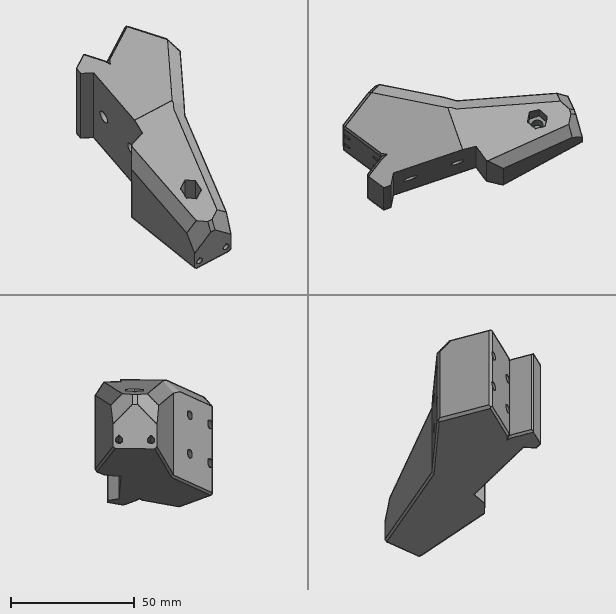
import cadquery as cq
import math

HEIGHT = 42.0
LENGTH_X = 80.8
LENGTH_Y = 75.9
BIG = 242.4

ARM_ANGLE = math.atan2(-2, 3)
ALONG = (math.cos(ARM_ANGLE), math.sin(ARM_ANGLE))
ACROSS = (-ALONG[1], ALONG[0])

PLATE_X = 9.85
LEDGE_Y = 55.6
LEDGE_CORNER = [(0, 54.95), (0.4, LEDGE_Y)]
RELIEF = [(9.45, LEDGE_Y), (10.3, 55.4), (PLATE_X, 56.25)]
PLATE_CORNER = (33.45, LENGTH_Y)
WAIST = (47.75, 46.15)

LEDGE_NOSE = [(2.6, 45.25), (0, 46.95)]
CLAMP_START = (7.3, 47.5)
CLAMP_LENGTH = 35.3
ARM_HEEL = (34.7, 21.2)
ARM_KNEE = (37.4, 14.6)
TIP_WIDTH = 17.8
TIP_LOW = (LENGTH_X - TIP_WIDTH * ACROSS[0], 0)
TIP_HIGH = (LENGTH_X, TIP_WIDTH * ACROSS[1])

RIDGE_ALONG = 9.3
ARM_SLOPE = 0.394
SLOPE_GRADIENT = (-ARM_SLOPE * ALONG[0], -ARM_SLOPE * ALONG[1])

SMALL_CHAMFER = 0.9
BACK_CHAMFER = 1.1
PLATE_TOP_CHAMFER = 5.0
ARM_TOP_CHAMFER = 4.5
ARM_TOP_CHAMFER_DROP = 4.85

TIP_SIDE_HEIGHT = 10.3
TIP_RIDGE_HEIGHT = 18.6
FACET_ALONG_SLOPE = 2.2
FACET_ACROSS_SLOPE = 1.06

MOUNT_HOLE_DIAMETER = 3.5
MOUNT_HOLE_YS = (58.2, 73.2)
MOUNT_HOLE_SPACING_Z = 16.2
CLAMP_HOLE_DIAMETER = 5.5
CLAMP_HOLE_DEPTH = 15.0
CLAMP_HOLE_OFFSETS = (7.4, 27.5)
TIP_HOLE_DIAMETER = 2.8
TIP_HOLE_HEIGHT = 3.6
TIP_HOLE_SPACING = 12.9
TIP_HOLE_DEPTH = 10.0
NUT_CENTER = (62.55, 16.5)
NUT_CORNER_DIAMETER = 8.4
NUT_FLOOR_Z = 16.2
NUT_HOLE_DIAMETER = 4.8
NUT_HOLE_DEPTH = 10.0


def midpoint(start, end):
    return ((start[0] + end[0]) / 2, (start[1] + end[1]) / 2)


def above_plane(point, gradient):
    """Solid filling the space above the plane through a point with the given rise along X and Y."""
    plane = cq.Plane(origin=point, normal=(-gradient[0], -gradient[1], 1))
    return cq.Workplane(plane).rect(BIG, BIG).extrude(BIG)


def slope_height(point):
    """Height of the sloped arm top, extended over any point in plan."""
    along = point[0] * ALONG[0] + point[1] * ALONG[1]
    return HEIGHT - ARM_SLOPE * (along - RIDGE_ALONG)


def wall_chamfer(start, end, top_height, top_gradient, inset, drop):
    """Space above the chamfer on the top of the wall from start to end, with the part on its right."""
    length = math.dist(start, end)
    inward = ((end[1] - start[1]) / length, (start[0] - end[0]) / length)
    gradient = [top + inner * drop / inset for top, inner in zip(top_gradient, inward)]
    return above_plane((*start, top_height - drop), gradient)


def arm_chamfer(start, end):
    """Space above the chamfer where a wall meets the sloped arm top."""
    top_height = slope_height(start)
    return wall_chamfer(start, end, top_height, SLOPE_GRADIENT, ARM_TOP_CHAMFER, ARM_TOP_CHAMFER_DROP)


def tip_facet(height, across_slope, corner):
    """Space above a facet that falls towards the tip, reaching the given height over the corner."""
    gradient = [-FACET_ALONG_SLOPE * a - across_slope * c for a, c in zip(ALONG, ACROSS)]
    return above_plane((*corner, height), gradient)


def chamfer_edges(solid, midpoints, size):
    """Chamfer the edges whose midpoints lie nearest to the given points."""
    edges = [solid.edges(cq.selectors.NearestToPointSelector(point)).val() for point in midpoints]
    return solid.newObject(edges).chamfer(size)


def teardrop_hole(plane, across):
    """Blind hole with a 45 degree pointed roof."""
    radius = TIP_HOLE_DIAMETER / 2
    tangent = radius * math.sqrt(0.5)
    profile = (
        cq.Workplane(plane)
        .center(across, TIP_HOLE_HEIGHT)
        .moveTo(-tangent, tangent)
        .threePointArc((0, -radius), (tangent, tangent))
        .lineTo(0, 2 * tangent)
        .close()
    )
    return profile.extrude(-TIP_HOLE_DEPTH)


clamp_end = (CLAMP_START[0] + CLAMP_LENGTH * ALONG[0], CLAMP_START[1] + CLAMP_LENGTH * ALONG[1])
outline = [
    *LEDGE_CORNER, *RELIEF, (PLATE_X, LENGTH_Y), PLATE_CORNER, WAIST, TIP_HIGH,
    TIP_LOW, ARM_KNEE, ARM_HEEL, clamp_end, CLAMP_START, *LEDGE_NOSE,
]
body = cq.Workplane("XY").polyline(outline).close().extrude(HEIGHT)

body = body.cut(above_plane((*TIP_HIGH, slope_height(TIP_HIGH)), SLOPE_GRADIENT))

plate_chamfer = wall_chamfer(PLATE_CORNER, WAIST, HEIGHT, (0, 0), PLATE_TOP_CHAMFER, PLATE_TOP_CHAMFER)
waist_chamfer = plate_chamfer.union(arm_chamfer(PLATE_CORNER, WAIST))
body = body.cut(waist_chamfer.intersect(arm_chamfer(WAIST, TIP_HIGH)))
body = body.cut(arm_chamfer(TIP_LOW, ARM_KNEE))

tip_middle = midpoint(TIP_LOW, TIP_HIGH)
body = body.cut(tip_facet(TIP_SIDE_HEIGHT, FACET_ACROSS_SLOPE, TIP_HIGH))
body = body.cut(tip_facet(TIP_SIDE_HEIGHT, -FACET_ACROSS_SLOPE, TIP_LOW))
body = body.cut(tip_facet(TIP_RIDGE_HEIGHT, 0, tip_middle))

body = body.faces(">Y").chamfer(BACK_CHAMFER)
bottom_walls = [(PLATE_CORNER, WAIST), (WAIST, TIP_HIGH), (TIP_LOW, ARM_KNEE)]
bottom_edges = [(*midpoint(start, end), 0) for start, end in bottom_walls]
inside_corner = [LEDGE_CORNER[1], *RELIEF, (PLATE_X, LENGTH_Y - BACK_CHAMFER)]
plate_edges = [
    (*midpoint(start, end), z)
    for start, end in zip(inside_corner, inside_corner[1:])
    for z in (0, HEIGHT)
]
body = chamfer_edges(body, bottom_edges + plate_edges, SMALL_CHAMFER)

mount_points = [(y, HEIGHT / 2 + side * MOUNT_HOLE_SPACING_Z / 2) for y in MOUNT_HOLE_YS for side in (-1, 1)]
mount_holes = cq.Workplane("YZ").pushPoints(mount_points).circle(MOUNT_HOLE_DIAMETER / 2).extrude(LENGTH_X)
body = body.cut(mount_holes)

clamp_plane = cq.Plane(origin=(*CLAMP_START, HEIGHT / 2), xDir=(*ALONG, 0), normal=(*ACROSS, 0))
clamp_points = [(offset, 0) for offset in CLAMP_HOLE_OFFSETS]
clamp_holes = cq.Workplane(clamp_plane).pushPoints(clamp_points).circle(CLAMP_HOLE_DIAMETER / 2)
body = body.cut(clamp_holes.extrude(CLAMP_HOLE_DEPTH))

tip_plane = cq.Plane(origin=(*tip_middle, 0), xDir=(*ACROSS, 0), normal=(*ALONG, 0))
for side in (-1, 1):
    body = body.cut(teardrop_hole(tip_plane, side * TIP_HOLE_SPACING / 2))

nut_plane = cq.Plane(origin=(*NUT_CENTER, NUT_FLOOR_Z), xDir=(*ALONG, 0), normal=(0, 0, 1))
body = body.cut(cq.Workplane(nut_plane).polygon(6, NUT_CORNER_DIAMETER).extrude(HEIGHT))
body = body.cut(cq.Workplane(nut_plane).circle(NUT_HOLE_DIAMETER / 2).extrude(-NUT_HOLE_DEPTH))

result = body